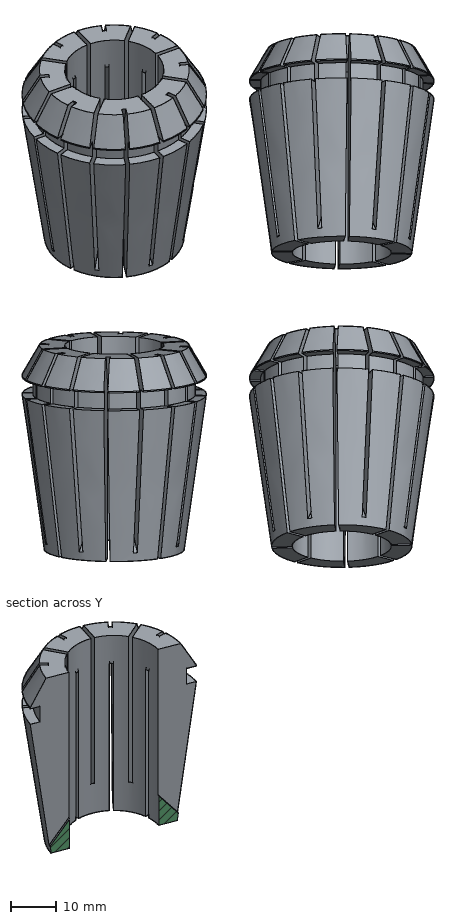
import cadquery as cq
import math

height = 46.0
outer_diameter = 41.0
bore_diameter = 22.0

shank_half_angle = 8.0
shank_height = 34.95
groove_diameter = 36.15
lip_bottom = 39.0
lip_height = 0.28
head_half_angle = 30.0

slots_per_end = 8
slot_width = 0.9
cutter_clearance = 0.45
bottom_web = 1.95
bottom_ramp_top = 7.8
top_web_bottom = 38.65
top_notch_radius = 14.67

outer_radius = outer_diameter / 2
bore_radius = bore_diameter / 2
groove_radius = groove_diameter / 2
lip_top = lip_bottom + lip_height
shank_slope = math.tan(math.radians(shank_half_angle))
slot_pitch = 360 / slots_per_end
shank_bottom_radius = outer_radius - shank_height * shank_slope
top_face_radius = outer_radius - (height - lip_top) * math.tan(math.radians(head_half_angle))
web_radius = shank_bottom_radius + bottom_web * shank_slope
slot_reach = outer_radius + cutter_clearance


def collet_body():
    """Revolve the half section of the slotless collet."""
    section = [
        (bore_radius, 0),
        (shank_bottom_radius, 0),
        (outer_radius, shank_height),
        (groove_radius, shank_height),
        (groove_radius, lip_bottom),
        (outer_radius, lip_bottom),
        (outer_radius, lip_top),
        (top_face_radius, height),
        (bore_radius, height),
    ]
    return cq.Workplane("XZ").polyline(section).close().revolve(360, (0, 0), (0, 1))


def slot_cutter(outline):
    """Flat radial blade with the given (radius, height) outline, lying along +X."""
    return cq.Workplane("XZ").polyline(outline).close().extrude(slot_width / 2, both=True)


def cut_slots(body, cutter, first_angle):
    """Cut one ring of evenly spaced slots."""
    for index in range(slots_per_end):
        body = body.cut(cutter.rotate((0, 0, 0), (0, 0, 1), first_angle + index * slot_pitch))
    return body


top_slot = slot_cutter([
    (0, height),
    (0, bottom_ramp_top),
    (bore_radius, bottom_ramp_top),
    (web_radius, bottom_web),
    (slot_reach, bottom_web),
    (slot_reach, height),
])

bottom_slot = slot_cutter([
    (0, 0),
    (0, top_web_bottom),
    (bore_radius, top_web_bottom),
    (top_notch_radius, height),
    (slot_reach, height),
    (slot_reach, 0),
])

result = collet_body()
result = cut_slots(result, top_slot, 0)
result = cut_slots(result, bottom_slot, slot_pitch / 2)